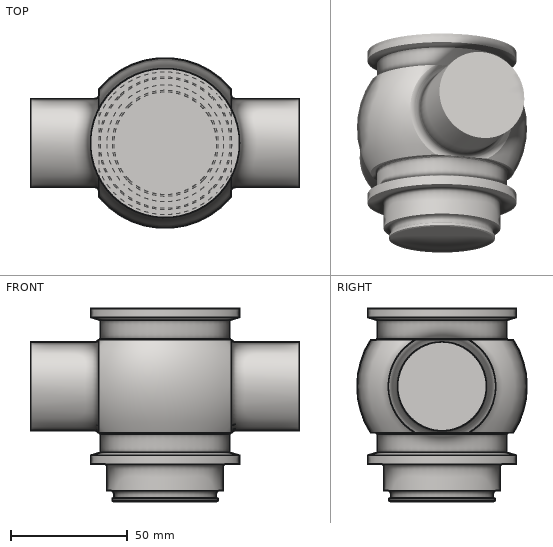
import cadquery as cq
import math

sphere_radius = 73.0 / 2
body_half_height = 19.9
body_half_width = 28.3

pipe_length = 115.1
pipe_radius = 38.1 / 2
pipe_blend = 1.7

neck_radius = 55.7 / 2
neck_blend = 0.6
flange_radius = 63.9 / 2
flange_face = 33.4
flange_rim = 3.8
flange_taper = 1.3

spigot_radius = 50.0 / 2
spigot_bottom = -44.6
spigot_blend = 0.8
groove_radius = 44.0 / 2
groove_blend = 1.6
lip_radius = 45.5 / 2
lip_height = 1.6
lip_bevel = 0.7
part_bottom = -49.4

blend_sag = 1 - math.sqrt(0.5)


def make_body():
    slab = cq.Workplane("XY").box(2 * body_half_width, 2 * sphere_radius, 2 * body_half_height)
    return cq.Workplane("XY").sphere(sphere_radius).intersect(slab)


def make_flanged_neck():
    """Upper neck and flange, with the neck blended into the top of the body."""
    rim_bottom = flange_face - flange_rim
    blend_middle = (neck_radius + blend_sag * neck_blend, body_half_height + blend_sag * neck_blend)
    neck = (
        cq.Workplane("XZ")
        .lineTo(neck_radius + neck_blend, 0)
        .lineTo(neck_radius + neck_blend, body_half_height)
        .threePointArc(blend_middle, (neck_radius, body_half_height + neck_blend))
        .lineTo(neck_radius, rim_bottom - flange_taper)
        .lineTo(flange_radius, rim_bottom)
        .lineTo(flange_radius, flange_face)
        .lineTo(0, flange_face)
        .close()
        .revolve(360, (0, 0), (0, 1))
    )
    pipe_side_slab = cq.Workplane("XY").box(
        2 * body_half_width, 2 * flange_radius, 2 * (body_half_height + neck_blend)
    )
    above_blend = (
        cq.Workplane("XY")
        .workplane(offset=body_half_height + neck_blend)
        .circle(2 * flange_radius)
        .extrude(flange_face)
    )
    return neck.intersect(pipe_side_slab.union(above_blend))


def make_spigot():
    flange_bottom = -flange_face
    lip_top = part_bottom + lip_height
    upper_blend_middle = (spigot_radius + blend_sag * spigot_blend, flange_bottom - blend_sag * spigot_blend)
    groove_blend_middle = (groove_radius + blend_sag * groove_blend, spigot_bottom - blend_sag * groove_blend)
    return (
        cq.Workplane("XZ")
        .lineTo(spigot_radius + spigot_blend, 0)
        .lineTo(spigot_radius + spigot_blend, flange_bottom)
        .threePointArc(upper_blend_middle, (spigot_radius, flange_bottom - spigot_blend))
        .lineTo(spigot_radius, spigot_bottom)
        .lineTo(groove_radius + groove_blend, spigot_bottom)
        .threePointArc(groove_blend_middle, (groove_radius, spigot_bottom - groove_blend))
        .lineTo(groove_radius, lip_top)
        .lineTo(lip_radius, lip_top - lip_bevel / 2)
        .lineTo(lip_radius, part_bottom + lip_bevel / 2)
        .lineTo(lip_radius - lip_bevel, part_bottom)
        .lineTo(0, part_bottom)
        .close()
        .revolve(360, (0, 0), (0, 1))
    )


def make_pipe():
    """Pipe toward +X, its blend cut off level with the top and bottom of the body."""
    blend_middle = (body_half_width + blend_sag * pipe_blend, pipe_radius + blend_sag * pipe_blend)
    pipe = (
        cq.Workplane("XZ")
        .lineTo(0, pipe_radius + pipe_blend)
        .lineTo(body_half_width, pipe_radius + pipe_blend)
        .threePointArc(blend_middle, (body_half_width + pipe_blend, pipe_radius))
        .lineTo(pipe_length / 2, pipe_radius)
        .lineTo(pipe_length / 2, 0)
        .close()
        .revolve(360, (0, 0), (1, 0))
    )
    slab = cq.Workplane("XY").box(pipe_length, 2 * sphere_radius, 2 * body_half_height)
    return pipe.intersect(slab)


neck = make_flanged_neck()
pipe = make_pipe()
result = (
    make_body()
    .union(neck)
    .union(neck.mirror("XY"))
    .union(make_spigot())
    .union(pipe)
    .union(pipe.mirror("YZ"))
)